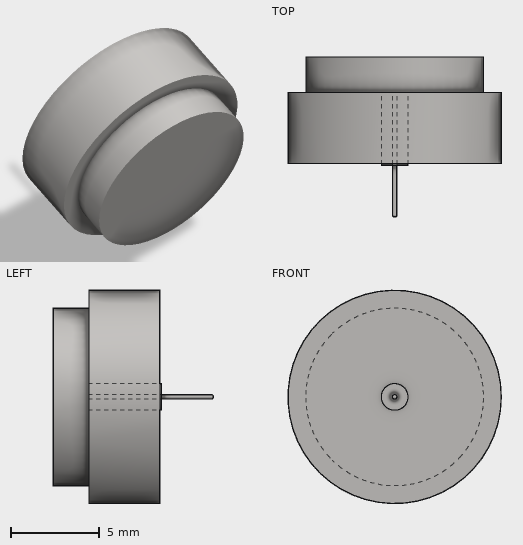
import cadquery as cq


housing_length = 6.0
drum_diameter = 12.0
drum_length = drum_diameter / 3
boss_diameter = 10.0

insulator_diameter = 1.5
insulator_protrusion = 0.1
recess_depth = drum_length

pin_diameter = 0.25
pin_protrusion = 3.0
pin_tip_radius = 0.1


def cylinder(diameter, front_y, back_y):
    """Solid cylinder about the Y axis, from front_y back to back_y."""
    base = cq.Workplane("XZ", origin=(0, back_y, 0))
    return base.circle(diameter / 2).extrude(back_y - front_y)


def make_housing():
    """Drum and boss in one piece, with a blind recess for the insulator in the front face."""
    drum = cylinder(drum_diameter, 0, drum_length)
    boss = cylinder(boss_diameter, drum_length, housing_length)
    recess = cylinder(insulator_diameter, 0, recess_depth)
    return drum.union(boss).cut(recess)


def make_insulator():
    """Sleeve that fills the recess and is bored through for the pin."""
    sleeve = cylinder(insulator_diameter, -insulator_protrusion, recess_depth)
    bore = cylinder(pin_diameter, -insulator_protrusion, recess_depth)
    return sleeve.cut(bore)


def make_pin():
    """Slim pin from the bottom of the recess to a rounded free end."""
    pin = cylinder(pin_diameter, -pin_protrusion, recess_depth)
    return pin.faces("<Y").edges().fillet(pin_tip_radius)


housing = make_housing()
insulator = make_insulator()
pin = make_pin()

result = cq.Compound.makeCompound([housing.val(), insulator.val(), pin.val()])